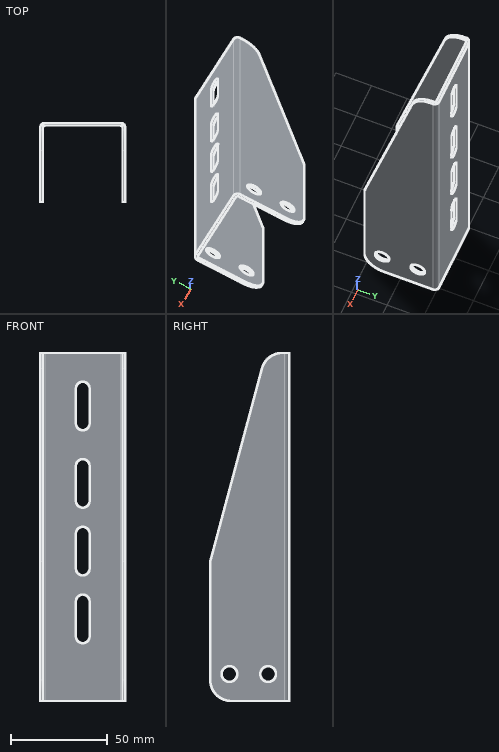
import cadquery as cq
import math

WIDTH = 44.0
DEPTH = 41.0
HEIGHT = 180.0

THICKNESS = 1.5
INNER_BEND_RADIUS = 1.0
OUTER_BEND_RADIUS = INNER_BEND_RADIUS + THICKNESS

CORNER_RADIUS = 11.0
TOP_FLAT = 3.65
TAPER_ANGLE = 15.0

SLOT_LENGTH = 25.0
SLOT_WIDTH = 7.0
SLOT_HEIGHTS = (42.5, 77.5, 112.5, 152.5)

HOLE_DIAMETER = 8.0
HOLE_HEIGHT = 14.0
HOLE_SETBACKS = (11.0, 31.0)

BACK_Y = DEPTH / 2
FRONT_Y = -DEPTH / 2


def u_channel():
    """Full-height channel, open toward -Y, with rounded bends at the back."""
    outer = (
        cq.Workplane("XY")
        .box(WIDTH, DEPTH, HEIGHT, centered=(True, True, False))
        .edges("|Z and >Y")
        .fillet(OUTER_BEND_RADIUS)
    )
    inner = (
        cq.Workplane("XY")
        .center(0, -THICKNESS)
        .box(WIDTH - 2 * THICKNESS, DEPTH, HEIGHT, centered=(True, True, False))
        .edges("|Z and >Y")
        .fillet(INNER_BEND_RADIUS)
    )
    return outer.cut(inner)


def flange_profile():
    """Side outline, extruded across the width: tapered front edge and two rounded corners."""
    taper = math.radians(TAPER_ANGLE)
    turn = math.pi / 2 - taper
    arc_start_y = BACK_Y - TOP_FLAT
    arc_center_z = HEIGHT - CORNER_RADIUS

    def upper_arc_point(angle):
        return (
            arc_start_y - CORNER_RADIUS * math.sin(angle),
            arc_center_z + CORNER_RADIUS * math.cos(angle),
        )

    taper_top_y, taper_top_z = upper_arc_point(turn)
    taper_bottom_z = taper_top_z - (taper_top_y - FRONT_Y) / math.tan(taper)

    return (
        cq.Workplane("YZ")
        .moveTo(BACK_Y, 0)
        .lineTo(BACK_Y, HEIGHT)
        .lineTo(arc_start_y, HEIGHT)
        .threePointArc(upper_arc_point(turn / 2), (taper_top_y, taper_top_z))
        .lineTo(FRONT_Y, taper_bottom_z)
        .lineTo(FRONT_Y, CORNER_RADIUS)
        .radiusArc((FRONT_Y + CORNER_RADIUS, 0), -CORNER_RADIUS)
        .close()
        .extrude(WIDTH / 2, both=True)
    )


def web_slots():
    """Vertical slots on the centre line of the web."""
    return (
        cq.Workplane("XZ")
        .pushPoints([(0, z) for z in SLOT_HEIGHTS])
        .slot2D(SLOT_LENGTH, SLOT_WIDTH, 90)
        .extrude(DEPTH, both=True)
    )


def cross_holes():
    """Round holes passing through both flanges."""
    return (
        cq.Workplane("YZ")
        .pushPoints([(BACK_Y - setback, HOLE_HEIGHT) for setback in HOLE_SETBACKS])
        .circle(HOLE_DIAMETER / 2)
        .extrude(WIDTH, both=True)
    )


result = u_channel().intersect(flange_profile()).cut(web_slots()).cut(cross_holes())